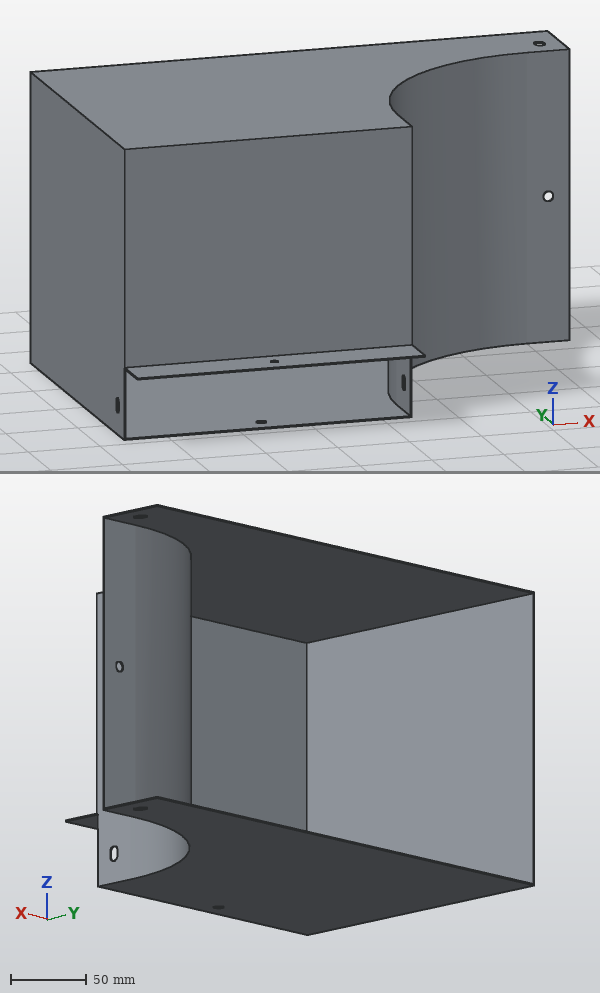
import cadquery as cq

length_x = 360.0
depth_y = 240.0
height_z = 200.0
thickness = 1.0

mouth_width = height_z
mouth_depth = 50.0
lip_depth = 30.0
bend_radius = 130.0

lip_hole_diameter = 5.0
hole_diameter = 7.0
slot_length = 10.0
hole_setback = 14.8
slot_height = 20.0

front_y = lip_depth
inner_y = depth_y - mouth_depth
bend_center_x = mouth_width + bend_radius
bend_center_y = inner_y - bend_radius
mid_x = mouth_width / 2
mid_z = height_z / 2
front_hole_y = front_y + hole_setback
end_hole_x = length_x - hole_setback


def plate_outline():
    """Plan shape of the floor and top, with the concave inner bend."""
    return (
        cq.Workplane("XY")
        .moveTo(0, front_y)
        .lineTo(mouth_width, front_y)
        .lineTo(mouth_width, bend_center_y)
        .radiusArc((bend_center_x, inner_y), bend_radius)
        .lineTo(length_x, inner_y)
        .lineTo(length_x, depth_y)
        .lineTo(0, depth_y)
        .close()
    )


def inner_wall():
    """Full-height curved wall joining the two channel mouths."""
    outer_radius = bend_radius + thickness
    return (
        cq.Workplane("XY")
        .moveTo(mouth_width, front_y)
        .lineTo(mouth_width, bend_center_y)
        .radiusArc((bend_center_x, inner_y), bend_radius)
        .lineTo(length_x, inner_y)
        .lineTo(length_x, inner_y + thickness)
        .lineTo(bend_center_x, inner_y + thickness)
        .radiusArc((mouth_width - thickness, bend_center_y), -outer_radius)
        .lineTo(mouth_width - thickness, front_y)
        .close()
        .extrude(height_z)
    )


def block(size, corner):
    """Box placed by its minimum corner."""
    return cq.Workplane("XY").box(*size, centered=False).translate(corner)


floor = plate_outline().extrude(thickness)
top = floor.translate((0, 0, height_z - thickness))
side_wall = block((thickness, depth_y - front_y, height_z), (0, front_y, 0))

front_wall = block(
    (mouth_width, thickness, height_z - mouth_depth + thickness),
    (0, front_y - thickness, mouth_depth - thickness),
)
lip = block((mouth_width, lip_depth, thickness), (0, 0, mouth_depth - thickness))

shell = floor.union(top).union(side_wall).union(inner_wall()).union(front_wall).union(lip)

side_slots = (
    cq.Workplane("YZ")
    .center(front_hole_y, slot_height)
    .slot2D(slot_length, hole_diameter, 90)
    .extrude(mouth_width)
)

end_slots = (
    cq.Workplane("XY")
    .center(end_hole_x, inner_y + slot_height)
    .slot2D(slot_length, hole_diameter, 90)
    .extrude(height_z)
)

floor_hole = (
    cq.Workplane("XY")
    .center(mid_x, front_hole_y)
    .circle(hole_diameter / 2)
    .extrude(thickness)
)
inner_wall_hole = (
    cq.Workplane("XZ", origin=(end_hole_x, inner_y, mid_z))
    .circle(hole_diameter / 2)
    .extrude(-thickness)
)

lip_hole = (
    cq.Workplane("XY", origin=(mid_x, lip_depth / 2, mouth_depth - thickness))
    .circle(lip_hole_diameter / 2)
    .extrude(thickness)
)

result = shell
for cutter in (side_slots, end_slots, floor_hole, inner_wall_hole, lip_hole):
    result = result.cut(cutter)